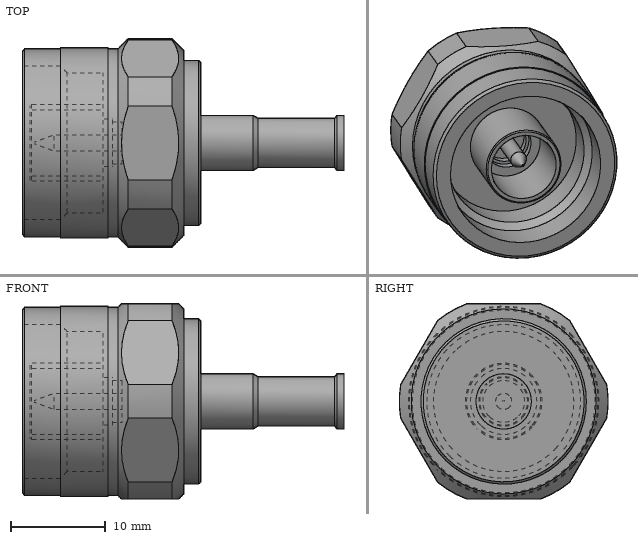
import cadquery as cq

total_length = 33.88

sleeve_radius = 9.93
sleeve_band_radius = 10.03
sleeve_chamfer_length = 0.25
sleeve_chamfer_depth = 0.3
band_start = 4.0
band_end = 9.0

nut_start = 10.0
nut_end = 17.0
nut_middle = (nut_start + nut_end) / 2
nut_across_flats = 20.55
nut_across_corners = 22.0
nut_radius = nut_across_corners / 2
nut_front_chamfer = 1.15
nut_rear_chamfer = 1.25

collar_end = 18.8
collar_radius = 8.7
collar_chamfer = 0.25

stem_radius = 2.9
neck_radius = 2.6
neck_start = 24.8
neck_end = 32.85
stem_taper_length = 0.5
lip_taper_length = 0.27

mouth_radius = 8.1
socket_radius = 7.4
socket_cone_start = 4.0
socket_cone_length = mouth_radius - socket_radius
socket_floor = 8.47

tube_start = 0.8
tube_radius = 4.03
tube_chamfer = 0.15
tube_bore_radius = 3.5
recess_radius = 2.5
recess_step_radius = 2.2
recess_step_depth = 1.0

pin_tip = 1.3
pin_tip_radius = 0.1
pin_radius = 0.85
pin_cone_length = 2.03


def turned(profile):
    """Revolve (x, radius) points about the X axis, closing the outline along the axis."""
    first_x = profile[0][0]
    last_x = profile[-1][0]
    outline = [(first_x, 0)] + profile + [(last_x, 0)]
    return cq.Workplane("XY").polyline(outline).close().revolve(360, (0, 0, 0), (1, 0, 0))


def turned_body():
    """Sleeve, collar and stem as one solid; sleeve and collar meet inside the nut."""
    return turned([
        (0, sleeve_radius - sleeve_chamfer_depth),
        (sleeve_chamfer_length, sleeve_radius),
        (band_start, sleeve_radius),
        (band_start, sleeve_band_radius),
        (band_end, sleeve_band_radius),
        (band_end, sleeve_radius),
        (nut_middle, sleeve_radius),
        (nut_middle, collar_radius),
        (collar_end - collar_chamfer, collar_radius),
        (collar_end, collar_radius - collar_chamfer),
        (collar_end, stem_radius),
        (neck_start - stem_taper_length, stem_radius),
        (neck_start, neck_radius),
        (neck_end, neck_radius),
        (neck_end + lip_taper_length, stem_radius),
        (total_length, stem_radius),
    ])


def hex_nut():
    """Hexagon with flats facing +Z and -Z, its corners turned down and chamfered at both ends."""
    hexagon = (
        cq.Workplane("YZ")
        .workplane(offset=nut_start)
        .polygon(6, nut_across_flats, circumscribed=True)
        .extrude(nut_end - nut_start)
        .rotate((0, 0, 0), (1, 0, 0), 90)
    )
    corner_limit = turned([
        (nut_start, nut_radius - nut_front_chamfer),
        (nut_start + nut_front_chamfer, nut_radius),
        (nut_end - nut_rear_chamfer, nut_radius),
        (nut_end, nut_radius - nut_rear_chamfer),
    ])
    return hexagon.intersect(corner_limit)


def socket():
    """Open bore that narrows through a cone to its flat floor."""
    return turned([
        (0, mouth_radius),
        (socket_cone_start, mouth_radius),
        (socket_cone_start + socket_cone_length, socket_radius),
        (socket_floor, socket_radius),
    ])


def contact_tube():
    """Outer contact standing on the socket floor, its front edge chamfered."""
    return turned([
        (tube_start, tube_radius - tube_chamfer),
        (tube_start + tube_chamfer, tube_radius),
        (socket_floor, tube_radius),
    ])


def tube_bore():
    """Bore of the contact tube, stepping down twice behind the socket floor."""
    recess_step = socket_floor + recess_step_depth
    recess_floor = recess_step + recess_step_depth
    return turned([
        (tube_start, tube_bore_radius),
        (socket_floor, tube_bore_radius),
        (socket_floor, recess_radius),
        (recess_step, recess_radius),
        (recess_step, recess_step_radius),
        (recess_floor, recess_step_radius),
    ])


def centre_pin():
    """Tapered pin with a small flat tip, rooted in the body behind the recess floor."""
    pin_root = nut_end
    return turned([
        (pin_tip, pin_tip_radius),
        (pin_tip + pin_cone_length, pin_radius),
        (pin_root, pin_radius),
    ])


result = (
    turned_body()
    .union(hex_nut())
    .cut(socket())
    .union(contact_tube())
    .cut(tube_bore())
    .union(centre_pin())
)